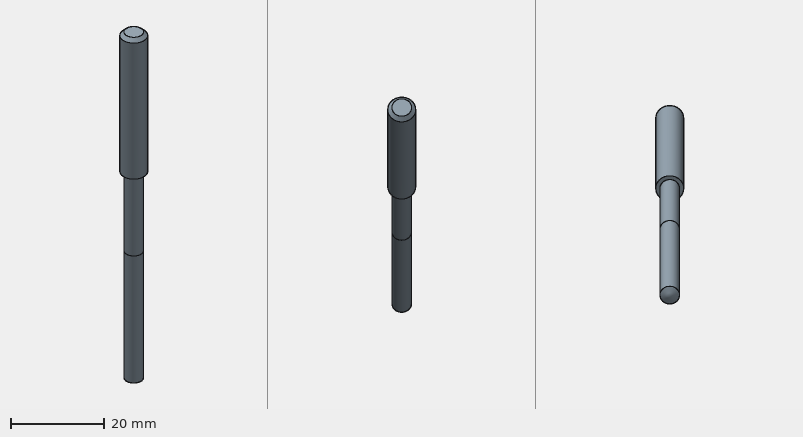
import cadquery as cq
import math

total_length = 90.0
shank_diameter = 6.0
shank_length = 36.0
shank_chamfer = 0.9
drill_diameter = 4.2
cutting_length = 33.6
point_angle = 140.0

shank_radius = shank_diameter / 2
drill_radius = drill_diameter / 2
point_height = drill_radius / math.tan(math.radians(point_angle / 2))
shank_bottom = total_length - shank_length


def make_holder():
    """Chamfered shank with the narrower neck below it."""
    shank = (
        cq.Workplane("XY", origin=(0, 0, shank_bottom))
        .circle(shank_radius)
        .extrude(shank_length)
        .faces(">Z")
        .chamfer(shank_chamfer)
    )
    neck = (
        cq.Workplane("XY", origin=(0, 0, cutting_length))
        .circle(drill_radius)
        .extrude(shank_bottom - cutting_length)
    )
    return shank.union(neck)


def make_cutting_part():
    """Plain cylinder with a conical point, ending at the bottom of the neck."""
    half_profile = (
        cq.Workplane("XZ")
        .moveTo(0, 0)
        .lineTo(drill_radius, point_height)
        .lineTo(drill_radius, cutting_length)
        .lineTo(0, cutting_length)
        .close()
    )
    return half_profile.revolve(360, (0, 0, 0), (0, 1, 0))


holder = make_holder()
cutting_part = make_cutting_part()

result = cq.Compound.makeCompound([holder.val(), cutting_part.val()])